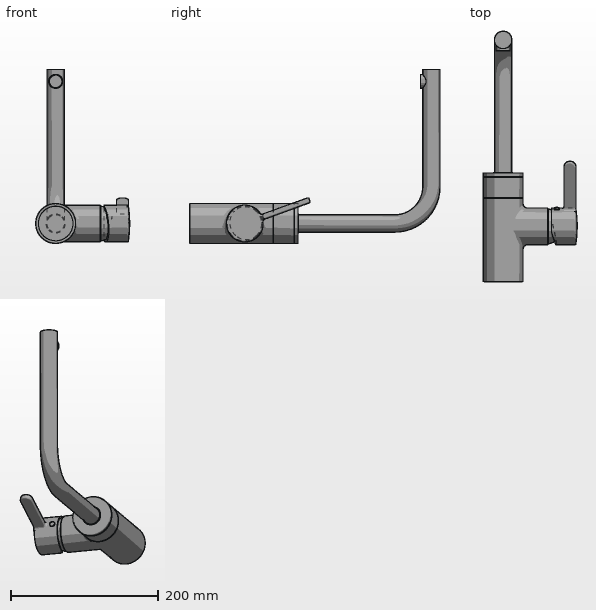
import cadquery as cq
import math

body_radius = 27.3
body_length = 148.0
body_edge_round = 0.7
foot_disc_radius = 23.5
foot_rim_height = 0.7
groove_positions = (113.5, 142.0)
groove_width = 1.0
groove_depth = 0.5

spout_radius = 12.0
spout_bend_radius = 49.8
spout_axis_y = 341.0 - spout_radius
spout_top_z = 209.5
spout_edge_round = 0.7
collar_radius = 13.0
collar_height = 0.7
outlet_radius = 9.5
outlet_drop = 16.5
outlet_reach = 15.0
outlet_face_radius = 8.5
outlet_face_depth = 0.5

arm_diameter = 50.0
arm_radius = arm_diameter / 2
arm_y = 75.5
arm_end_x = 61.7
arm_edge_chamfer = 1.5
arm_blend_radius = 5.8
ball_x = 57.5
ball_radius = 24.2
ball_start_x = 59.5
ball_end_x = 75.0

cap_start_x = 65.8
cap_end_x = 99.2
cap_edge_round = 2.0
cap_dome_height = 1.7
cap_dome_radius = arm_radius - cap_edge_round
cap_relief_angle = 15.0
lever_tilt = 20.0
lever_length = 93.7
lever_width = 16.7
lever_thickness = 7.5
lever_edge_round = 2.0
lever_blend_radius = 3.5
plug_x = 73.0
plug_radius = 3.7
plug_height = 1.5

overlap = 3.5
selection_margin = 0.5


def cylinder_x(start_x, end_x, radius):
    """Cylinder along the X axis."""
    return cq.Workplane("YZ", origin=(start_x, 0, 0)).circle(radius).extrude(end_x - start_x)


def cylinder_y(start_y, end_y, radius):
    """Cylinder along the Y axis."""
    return cq.Workplane("XZ", origin=(0, start_y, 0)).circle(radius).extrude(start_y - end_y)


def revolve_x(profile):
    """Close a profile in the XY plane and turn it around the X axis."""
    return profile.close().revolve(360, (0, 0, 0), (1, 0, 0))


def make_body_and_arm():
    arm = cylinder_x(0, arm_end_x, arm_radius)

    body = (
        cq.Workplane("XY")
        .moveTo(0, foot_rim_height)
        .lineTo(foot_disc_radius, foot_rim_height)
        .threePointArc(((foot_disc_radius + body_radius) / 2, 0), (body_radius, foot_rim_height))
        .lineTo(body_radius, body_length)
        .lineTo(0, body_length)
        .close()
        .revolve(360, (0, 0, 0), (0, 1, 0))
    )
    body = body.union(arm.translate((0, arm_y, 0)))

    body = body.edges("%BSPLINE").fillet(arm_blend_radius)
    body = body.faces(">Y").edges().fillet(body_edge_round)
    body = body.faces(">X").edges().chamfer(arm_edge_chamfer)

    for position in groove_positions:
        ring = cylinder_y(position, position + groove_width, body_radius + overlap)
        core = cylinder_y(position, position + groove_width, body_radius - groove_depth)
        body = body.cut(ring.cut(core))
    return body


def make_spout():
    spout_start_y = body_length - overlap
    bend_start_y = spout_axis_y - spout_bend_radius
    path = (
        cq.Workplane("YZ")
        .moveTo(spout_start_y, 0)
        .lineTo(bend_start_y, 0)
        .radiusArc((spout_axis_y, spout_bend_radius), -spout_bend_radius)
        .lineTo(spout_axis_y, spout_top_z)
    )
    tube = cq.Workplane("XZ", origin=(0, spout_start_y, 0)).circle(spout_radius).sweep(path)
    tube = tube.faces(">Z").edges().fillet(spout_edge_round)
    collar = cylinder_y(spout_start_y, body_length + collar_height, collar_radius)
    outlet_y = spout_axis_y - outlet_reach
    outlet = cylinder_y(outlet_y, spout_axis_y, outlet_radius)
    outlet = outlet.cut(cylinder_y(outlet_y, outlet_y + outlet_face_depth, outlet_face_radius))
    return tube.union(collar).union(outlet.translate((0, 0, spout_top_z - outlet_drop)))


def make_cap(end_x):
    """Cylindrical cap whose back edge slants away from the arm on the side opposite the lever."""
    cap = cylinder_x(cap_start_x, end_x, arm_radius)
    relief_reach = 2 * arm_radius
    relief_depth = relief_reach * math.tan(math.radians(cap_relief_angle))
    relief = (
        cq.Workplane("XY")
        .polyline([
            (cap_start_x, 0),
            (cap_start_x + relief_depth, -relief_reach),
            (cap_start_x, -relief_reach),
        ])
        .close()
        .extrude(arm_radius + overlap, both=True)
    )
    return cap.cut(relief)


def make_lever():
    """Flat bar with a round tip, flush with the end of the cap."""
    left_x = cap_end_x - lever_width
    tip_center_y = lever_length - lever_width / 2
    lever = (
        cq.Workplane("XY", origin=(0, 0, -lever_thickness / 2))
        .moveTo(left_x, 0)
        .lineTo(left_x, tip_center_y)
        .threePointArc((cap_end_x - lever_width / 2, lever_length), (cap_end_x, tip_center_y))
        .lineTo(cap_end_x, 0)
        .close()
        .extrude(lever_thickness)
    )
    return lever.faces("<Z or >Z").edges("not <Y").fillet(lever_edge_round)


def make_rim_waste():
    """Material outside the rounded rim of the cap, leaving the lever root untouched."""
    waste = revolve_x(
        cq.Workplane("XY")
        .moveTo(cap_end_x, cap_dome_radius)
        .radiusArc((cap_end_x - cap_edge_round, arm_radius), -cap_edge_round)
        .lineTo(cap_end_x, arm_radius)
    )
    root_height = lever_thickness + 2 * lever_blend_radius
    root_zone = cq.Workplane("XY", origin=(cap_end_x, arm_radius, 0)).box(
        lever_width, arm_radius, root_height
    )
    return waste.cut(root_zone)


def make_dome():
    """Slightly bulging end face of the cap."""
    sphere_radius = (cap_dome_radius**2 + cap_dome_height**2) / (2 * cap_dome_height)
    return revolve_x(
        cq.Workplane("XY")
        .moveTo(cap_end_x, 0)
        .lineTo(cap_end_x + cap_dome_height, 0)
        .radiusArc((cap_end_x, cap_dome_radius), -sphere_radius)
    )


def make_plug():
    """Small round plug beside the lever, just proud of the cap."""
    return cylinder_y(0, arm_radius + plug_height, plug_radius).translate((plug_x, 0, 0))


def make_ball():
    """Slice of a sphere that shows in the gap between the arm and the cap."""
    start_radius = math.sqrt(ball_radius**2 - (ball_start_x - ball_x) ** 2)
    end_radius = math.sqrt(ball_radius**2 - (ball_end_x - ball_x) ** 2)
    return revolve_x(
        cq.Workplane("XY")
        .moveTo(ball_start_x, 0)
        .lineTo(ball_start_x, start_radius)
        .radiusArc((ball_end_x, end_radius), ball_radius)
        .lineTo(ball_end_x, 0)
    )


def make_control():
    """Ball, cap, plug and lever, built around the X axis and then tilted and moved to the arm."""
    rough_end_x = cap_end_x + 2 * lever_blend_radius
    lever_root = cq.selectors.BoxSelector(
        (cap_start_x, arm_radius - overlap, -lever_thickness),
        (cap_end_x + selection_margin, arm_radius + selection_margin, lever_thickness),
    )
    control = make_cap(rough_end_x).union(make_lever())
    control = control.edges(lever_root).fillet(lever_blend_radius)
    control = control.cut(cylinder_x(cap_end_x, rough_end_x, 2 * arm_radius))
    control = control.cut(make_rim_waste())
    control = control.union(make_dome()).union(make_plug()).union(make_ball())
    return control.rotate((0, 0, 0), (1, 0, 0), lever_tilt).translate((0, arm_y, 0))


result = make_body_and_arm().union(make_spout()).union(make_control())